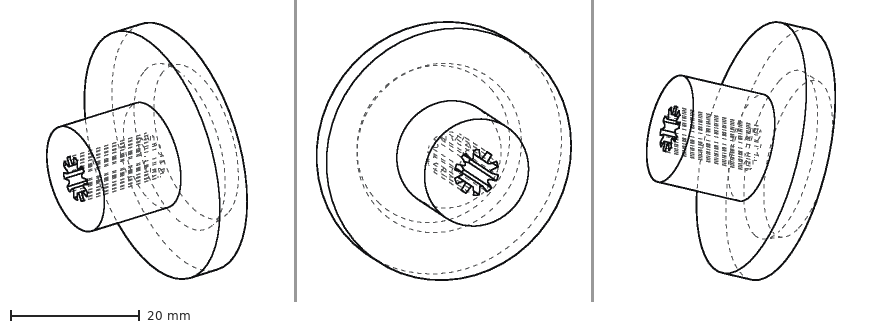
import cadquery as cq
import math

flange_diameter = 40.0
flange_thickness = 5.0
hub_diameter = 17.0
hub_length = 14.0
boss_base_diameter = 26.9
boss_end_diameter = 24.95
boss_height = 3.0

groove_count = 10
socket_radius = 3.6
land_inner_radius = 2.3
land_nose_radius = 0.3
groove_taper = 3.0
socket_depth = hub_length


def polar(radius, angle):
    """Point at a radius and an angle in degrees."""
    turn = math.radians(angle)
    return radius * math.cos(turn), radius * math.sin(turn)


def turned_body():
    """Hub, flange and tapered boss in one revolve, flange front face at Y = 0."""
    boss_end = flange_thickness + boss_height
    return (
        cq.Workplane("XY")
        .moveTo(0, -hub_length)
        .lineTo(hub_diameter / 2, -hub_length)
        .lineTo(hub_diameter / 2, 0)
        .lineTo(flange_diameter / 2, 0)
        .lineTo(flange_diameter / 2, flange_thickness)
        .lineTo(boss_base_diameter / 2, flange_thickness)
        .lineTo(boss_end_diameter / 2, boss_end)
        .lineTo(0, boss_end)
        .close()
        .revolve(360, (0, 0, 0), (0, 1, 0))
    )


def spline_socket():
    """Ten outward grooves separated by round-nosed lands, as a solid to remove."""
    pitch = 360 / groove_count
    wall_angle = pitch / 2 + groove_taper
    wall = math.radians(wall_angle)
    nose_centre = land_inner_radius + land_nose_radius

    tangent_x = nose_centre - land_nose_radius * math.sin(wall)
    tangent_y = land_nose_radius * math.cos(wall)
    nose_angle = math.degrees(math.atan2(tangent_y, tangent_x))
    nose_end_radius = math.hypot(tangent_x, tangent_y)
    apex = nose_centre - land_nose_radius / math.sin(wall)
    corner_angle = wall_angle - math.degrees(math.asin(apex * math.sin(wall) / socket_radius))

    outline = cq.Workplane("XZ", origin=(0, -hub_length, 0))
    outline = outline.moveTo(*polar(nose_end_radius, -nose_angle))
    for index in range(groove_count):
        land = index * pitch
        outline = (
            outline
            .threePointArc(polar(land_inner_radius, land), polar(nose_end_radius, land + nose_angle))
            .lineTo(*polar(socket_radius, land + corner_angle))
            .threePointArc(
                polar(socket_radius, land + pitch / 2),
                polar(socket_radius, land + pitch - corner_angle),
            )
            .lineTo(*polar(nose_end_radius, land + pitch - nose_angle))
        )
    return outline.close().extrude(-socket_depth)


result = turned_body().cut(spline_socket())